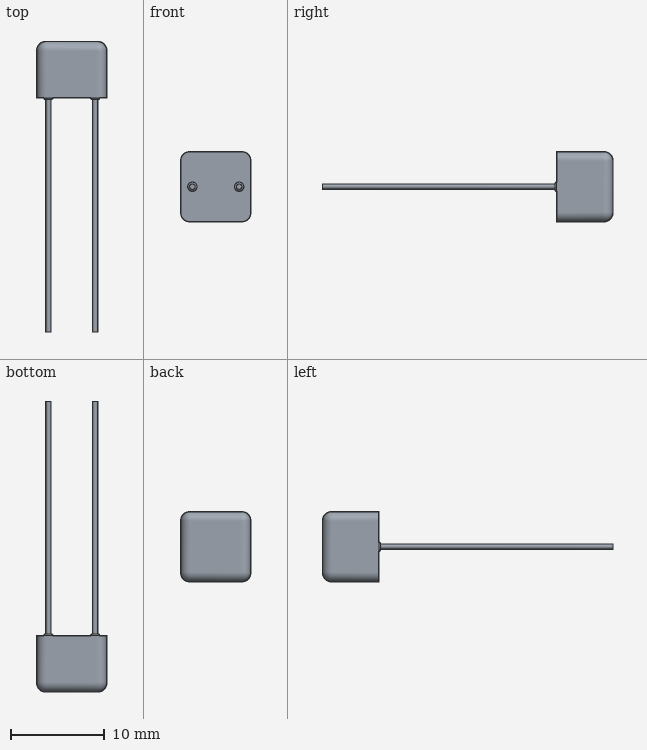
import cadquery as cq
import math

total_length = 31.0
body_width = 7.5
body_depth = 6.0
edge_radius = 1.0

lead_diameter = 0.6
lead_spacing = 5.0
bead_radius = 0.2

lead_radius = lead_diameter / 2
lead_length = total_length - body_depth
root_depth = edge_radius


def make_body():
    """Rounded block with a flat, sharp-edged base on the plane Y = 0."""
    block = cq.Workplane("XY").box(body_width, body_depth, body_width, centered=(True, False, True))
    return block.edges("|Y").fillet(edge_radius).faces(">Y").edges().fillet(edge_radius)


def make_lead(x):
    """Round lead running toward -Y, with a convex quarter-round bead at its root."""
    bead_middle = bead_radius * math.cos(math.radians(45))
    profile = (
        cq.Workplane("XY")
        .moveTo(0, root_depth)
        .lineTo(lead_radius + bead_radius, root_depth)
        .lineTo(lead_radius + bead_radius, 0)
        .threePointArc((lead_radius + bead_middle, -bead_middle), (lead_radius, -bead_radius))
        .lineTo(lead_radius, -lead_length)
        .lineTo(0, -lead_length)
        .close()
    )
    return profile.revolve(360, (0, 0, 0), (0, 1, 0)).translate((x, 0, 0))


result = make_body()
for side in (-1, 1):
    result = result.union(make_lead(side * lead_spacing / 2))